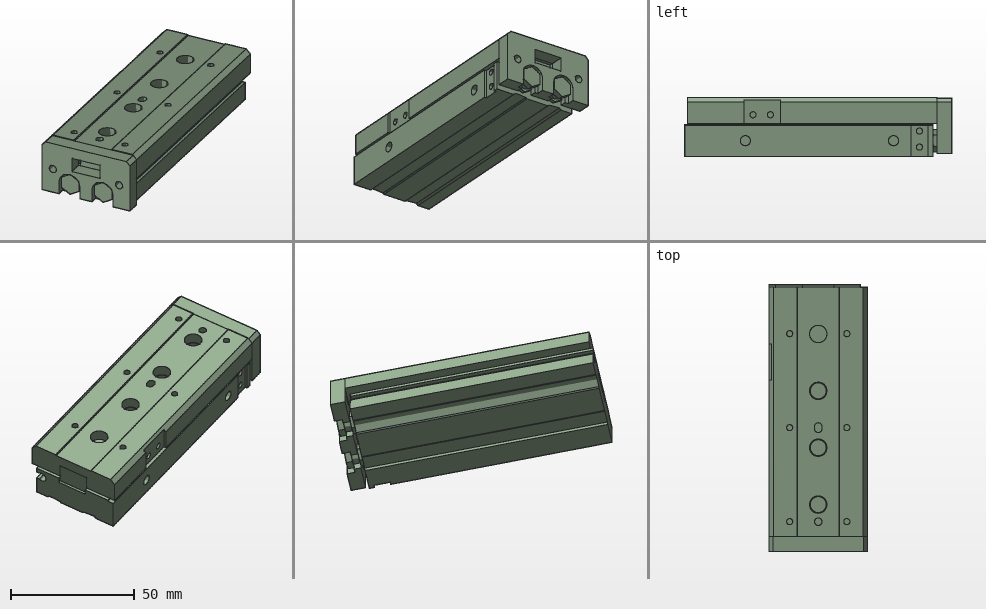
import cadquery as cq
import math


width = 40.0
length = 108.0
height = 24.0
front_y = -length / 2
back_y = length / 2

plate_thickness = 6.0
plate_bottom = 1.3
plate_top = 23.7
plate_chamfer = 1.6
window_bottom = 13.0
plate_hole_spacing = 30.1
plate_hole_z = 12.0
plate_hole_diameter = 3.2
head_slot_width = 9.5
head_slot_depth = 3.2
shaft_slot_width = 6.5

table_front_y = front_y + plate_thickness
table_back_y = back_y - 1.1
table_bottom = 13.4
table_chamfer = 1.9
pad_inner_x = 8.6
pad_step = height - plate_top
access_hole_diameter = 7.0
access_hole_pitch = 23.0
access_hole_first_y = -35.0
access_hole_count = 4
screw_hole_diameter = 2.5
screw_hole_depth = 6.5
screw_hole_x = 11.6
screw_hole_pitch = 38.0
screw_hole_first_y = -41.9
screw_hole_rows = 3
pin_hole_diameter = 3.0
pin_slot_length = 4.0

recess_depth = 1.0
side_screw_depth = 4.3
table_recess_front_y = 15.3
table_recess_back_y = 30.0
table_recess_hole_y = (19.3, 26.4)
table_recess_hole_z = 17.0
housing_recess_front_y = -44.4
housing_recess_back_y = -37.6
housing_recess_hole_y = -40.9
housing_recess_hole_z = (3.9, 10.4)

rail_width = 12.7
rail_bottom = 10.8
rail_top = 19.0
rail_hole_diameter = 6.5

housing_front_y = -46.4
housing_top = 13.1
housing_right_x = 17.1
shoulder_width = 2.6
shoulder_z = 12.5
mount_hole_diameter = 4.1
mount_hole_depth = 5.4
mount_hole_y = (-30.5, 29.5)
sensor_slot_diameter = 4.0
sensor_slot_mouth = 3.2
sensor_slot_x = 14.6
sensor_slot_z = 9.4
belly_outer_x = 11.7
belly_inner_x = 5.2
belly_flat_x = 8.9
belly_depth = 0.8
belly_step_x = 5.7
belly_step_depth = 0.4

rod_spacing = 15.0
rod_z = 6.5
rod_diameter = 6.5
rod_back_y = -24.8
hex_across_flats = 8.0
hex_across_corners = hex_across_flats / math.cos(math.pi / 6)
head_inset = 0.6
nut_chamfer = 0.3

rod_xs = (-rod_spacing / 2, rod_spacing / 2)
access_hole_ys = [access_hole_first_y + i * access_hole_pitch for i in range(access_hole_count)]


def block(x_range, y_range, z_range):
    """Box given by its limits along each axis."""
    (x0, x1), (y0, y1), (z0, z1) = x_range, y_range, z_range
    return cq.Workplane("XY").box(x1 - x0, y1 - y0, z1 - z0, centered=False).translate((x0, y0, z0))


def profile_plane(y):
    """XZ sketch plane at the given Y, whose extrusions run toward +Y; its local x and y are X and Z."""
    return cq.Workplane(cq.Plane(origin=(0, y, 0), xDir=(1, 0, 0), normal=(0, -1, 0)))


def along_y(sketch, distance):
    """Extrude a sketch from profile_plane toward +Y."""
    return sketch.extrude(-distance)


def side_hole(diameter, depth, y, z):
    """Blind hole cutter that enters the -X side."""
    return cq.Workplane("YZ", origin=(-width / 2, y, z)).circle(diameter / 2).extrude(depth)


def down_hole(diameter, x, y, depth):
    """Hole cutter that goes down from the table top."""
    return cq.Workplane("XY", origin=(x, y, height)).circle(diameter / 2).extrude(-depth)


def centered(size):
    return (-size / 2, size / 2)


def make_end_plate():
    half = width / 2
    plate = block((-half, half), (front_y, table_front_y), (plate_bottom, plate_top))
    plate = plate.edges("|Y and >Z").chamfer(plate_chamfer)
    hole_xs = centered(plate_hole_spacing)
    holes = profile_plane(front_y).pushPoints([(x, plate_hole_z) for x in hole_xs])
    plate = plate.cut(along_y(holes.circle(plate_hole_diameter / 2), plate_thickness))
    plate = plate.cut(block(centered(rail_width), (front_y, table_front_y), (window_bottom, rail_top)))
    for x in rod_xs:
        for slot_width, depth in ((head_slot_width, head_slot_depth), (shaft_slot_width, plate_thickness)):
            radius = slot_width / 2
            slot = (
                profile_plane(front_y)
                .moveTo(x - radius, 0)
                .lineTo(x + radius, 0)
                .lineTo(x + radius, rod_z)
                .threePointArc((x, rod_z + radius), (x - radius, rod_z))
                .close()
            )
            plate = plate.cut(along_y(slot, depth))
    return plate


def make_table():
    half = width / 2
    pad_outer_x = half - table_chamfer
    pad_foot_x = pad_inner_x - pad_step
    profile = profile_plane(table_front_y).polyline([
        (-half, table_bottom),
        (half, table_bottom),
        (half, height - table_chamfer),
        (pad_outer_x, height),
        (pad_inner_x, height),
        (pad_foot_x, height - pad_step),
        (-pad_foot_x, height - pad_step),
        (-pad_inner_x, height),
        (-pad_outer_x, height),
        (-half, height - table_chamfer),
    ]).close()
    table = along_y(profile, table_back_y - table_front_y)
    table = table.cut(block(centered(rail_width), (table_front_y, table_back_y), (table_bottom, rail_top)))

    roof_depth = height - rail_top
    for y in access_hole_ys:
        table = table.cut(down_hole(access_hole_diameter, 0, y, roof_depth))
    for row in range(screw_hole_rows):
        for x in (-screw_hole_x, screw_hole_x):
            y = screw_hole_first_y + row * screw_hole_pitch
            table = table.cut(down_hole(screw_hole_diameter, x, y, screw_hole_depth))
    table = table.cut(down_hole(pin_hole_diameter, 0, screw_hole_first_y, roof_depth))
    pin_slot_y = screw_hole_first_y + screw_hole_pitch
    pin_slot = cq.Workplane("XY", origin=(0, pin_slot_y, height)).slot2D(pin_slot_length, pin_hole_diameter, 90)
    table = table.cut(pin_slot.extrude(-roof_depth))

    recess_y = (table_recess_front_y, table_recess_back_y)
    table = table.cut(block((-half, -half + recess_depth), recess_y, (table_bottom, height)))
    for y in table_recess_hole_y:
        table = table.cut(side_hole(screw_hole_diameter, side_screw_depth, y, table_recess_hole_z))
    return table


def make_guide_rail():
    rail = block(centered(rail_width), (housing_front_y, table_back_y), (rail_bottom, rail_top))
    for y in access_hole_ys[:-1]:
        rail = rail.cut(down_hole(rail_hole_diameter, 0, y, height))
    return rail


def belly_groove(side):
    """Shallow groove along the underside, below the rod on the given side (-1 or 1)."""
    sketch = (
        profile_plane(housing_front_y)
        .moveTo(side * belly_outer_x, 0)
        .lineTo(side * (belly_outer_x - belly_depth), belly_depth)
        .lineTo(side * belly_flat_x, belly_depth)
        .lineTo(side * belly_step_x, belly_step_depth)
        .lineTo(side * belly_inner_x, 0)
        .close()
    )
    return along_y(sketch, back_y - housing_front_y)


def make_housing():
    left_x = -width / 2
    body_y = (housing_front_y, back_y)
    body_length = back_y - housing_front_y
    housing = block((left_x, housing_right_x), body_y, (0, housing_top))
    housing = housing.cut(block((left_x, left_x + shoulder_width), body_y, (shoulder_z, housing_top)))
    housing = housing.cut(block(centered(rail_width), body_y, (rail_bottom, housing_top)))
    for side in (-1, 1):
        housing = housing.cut(belly_groove(side))

    sensor_slot = profile_plane(housing_front_y).center(sensor_slot_x, sensor_slot_z)
    housing = housing.cut(along_y(sensor_slot.circle(sensor_slot_diameter / 2), body_length))
    mouth_z = (sensor_slot_z - sensor_slot_mouth / 2, sensor_slot_z + sensor_slot_mouth / 2)
    housing = housing.cut(block((sensor_slot_x, housing_right_x), body_y, mouth_z))

    for x in rod_xs:
        bore = profile_plane(housing_front_y).center(x, rod_z).circle(rod_diameter / 2)
        housing = housing.cut(along_y(bore, rod_back_y - housing_front_y))
    for y in mount_hole_y:
        housing = housing.cut(side_hole(mount_hole_diameter, mount_hole_depth, y, rod_z))
    recess_y = (housing_recess_front_y, housing_recess_back_y)
    housing = housing.cut(block((left_x, left_x + recess_depth), recess_y, (0, housing_top)))
    for z in housing_recess_hole_z:
        housing = housing.cut(side_hole(screw_hole_diameter, side_screw_depth, housing_recess_hole_y, z))
    return housing


def hexagon(x, y, thickness):
    """Hexagonal prism about a rod axis, with corners at the top and bottom."""
    sketch = profile_plane(y).center(x, rod_z).transformed(rotate=(0, 0, 90)).polygon(6, hex_across_corners)
    return along_y(sketch, thickness)


def make_rod(x):
    """Piston rod with a hexagonal head in the plate's slot and a nut behind the plate."""
    head_front_y = front_y + head_inset
    shaft = profile_plane(head_front_y).center(x, rod_z).circle(rod_diameter / 2)
    rod = along_y(shaft, rod_back_y - head_front_y)
    rod = rod.union(hexagon(x, head_front_y, head_slot_depth - head_inset))

    nut_length = housing_front_y - table_front_y
    nut = hexagon(x, table_front_y, nut_length)
    round_blank = profile_plane(table_front_y).center(x, rod_z).circle(hex_across_corners / 2)
    round_blank = along_y(round_blank, nut_length).faces(">Y").chamfer(nut_chamfer)
    return rod.union(nut.intersect(round_blank))


end_plate = make_end_plate()
table = make_table()
guide_rail = make_guide_rail()
housing = make_housing()
rods = [make_rod(x) for x in rod_xs]

result = cq.Compound.makeCompound([
    end_plate.val(),
    table.val(),
    guide_rail.val(),
    housing.val(),
    *[rod.val() for rod in rods],
])